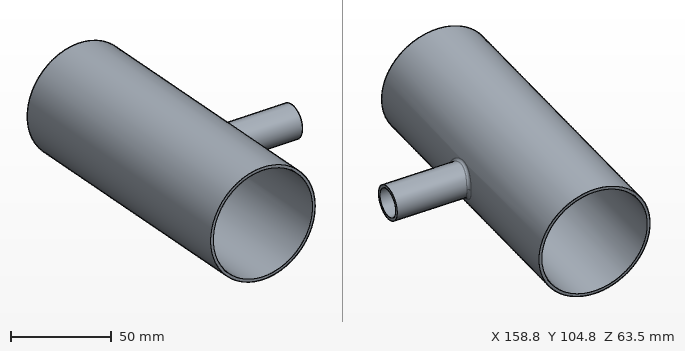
import cadquery as cq

run_length = 158.8
run_outer_diameter = 63.5
run_bore_diameter = 60.2

branch_outer_diameter = 19.0
branch_bore_diameter = 15.7
branch_reach = 73.0

weld_fillet_radius = 1.6


def run_cylinder(diameter):
    """Cylinder along X over the full length of the main tube."""
    return cq.Workplane("YZ").circle(diameter / 2).extrude(run_length / 2, both=True)


def branch_cylinder(diameter):
    """Cylinder along +Y from the main tube axis to the branch end."""
    return cq.Workplane("XZ").circle(diameter / 2).extrude(-branch_reach)


def filleted_outside():
    """Solid outer shape of the tee, with the weld fillet where the tubes meet."""
    body = run_cylinder(run_outer_diameter).union(branch_cylinder(branch_outer_diameter))
    around_joint = cq.selectors.BoxSelector(
        (-branch_outer_diameter, branch_outer_diameter / 2, -branch_outer_diameter),
        (branch_outer_diameter, run_outer_diameter / 2 + weld_fillet_radius, branch_outer_diameter),
    )
    joint_edges = body.edges(around_joint).edges("not %LINE")
    return joint_edges.fillet(weld_fillet_radius)


result = (
    filleted_outside()
    .cut(run_cylinder(run_bore_diameter))
    .cut(branch_cylinder(branch_bore_diameter))
)